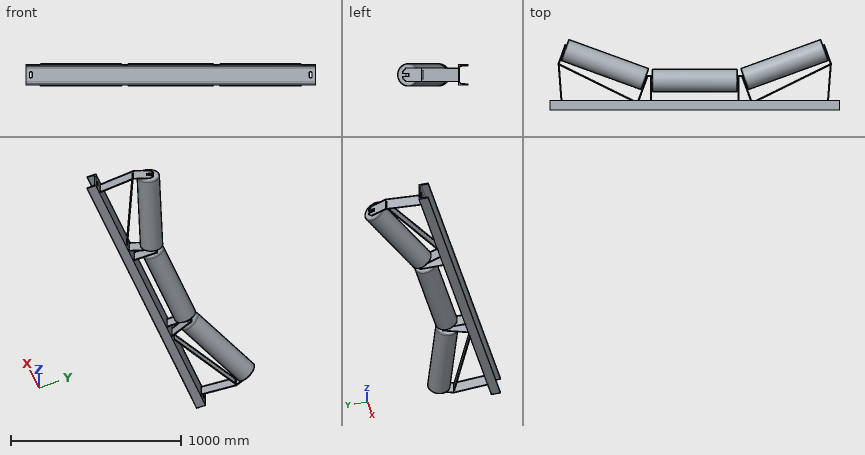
import cadquery as cq
import math


CHANNEL_LENGTH = 1700.0
CHANNEL_HEIGHT = 120.0
FLANGE_WIDTH = 56.0
WEB_THICKNESS = 7.0
FLANGE_THICKNESS = 9.0
FLANGE_TAPER = 0.08
ROOT_RADIUS = 9.0
TIP_RADIUS = 4.5
SLOT_WIDTH = 15.0
SLOT_LENGTH = 35.0
SLOT_FROM_END = 29.0
SEAT_Y = FLANGE_WIDTH

ROLLER_DIAMETER = 133.0
ROLLER_LENGTH = 500.0
END_ROUND = 5.0
END_GAP = 4.2
SHAFT_SIZE = 17.0
TROUGH_ANGLE = 20.0
CENTRE_ROLLER_Y = 173.0
SIDE_ROLLER_X = 527.0
OVERALL_DEPTH = 413.0

PLATE = 6.0
BRACKET_WIDTH = 78.0
INNER_BRACKET_TOP_Y = 204.0
OUTER_FOOT_X = 785.0
BEND_Y = 272.0
TIP_ABOVE_AXIS = 30.0
TIP_CHAMFER = 20.0
BRACE_WIDTH = 50.0
BRACE_FOOT_X = 359.0

PICK_MARGIN = 2.0

trough = math.radians(TROUGH_ANGLE)
tilt_sin = math.sin(trough)
tilt_cos = math.cos(trough)
tilt_tan = math.tan(trough)
corner_along = ROLLER_LENGTH / 2 - END_ROUND
corner_above = ROLLER_DIAMETER / 2 - END_ROUND
side_roller_y = OVERALL_DEPTH - END_ROUND - corner_along * tilt_sin - corner_above * tilt_cos
bracket_face = ROLLER_LENGTH / 2 + END_GAP
shaft_length = 2 * (bracket_face + PLATE)


def side_point(along, above):
    """Point of the XY plane, measured along and square to the side roller's axis."""
    x = SIDE_ROLLER_X + along * tilt_cos - above * tilt_sin
    y = side_roller_y + along * tilt_sin + above * tilt_cos
    return (x, y)


def place_on_side(body):
    """Move a body from the origin, along X, to the axis of the +X side roller."""
    turned = body.rotate((0, 0, 0), (0, 0, 1), TROUGH_ANGLE)
    return turned.translate((SIDE_ROLLER_X, side_roller_y, 0))


def plate(outline, width):
    """Plate with its edge outline in the XY plane, centred on Z = 0."""
    return cq.Workplane("XY").polyline(outline).close().extrude(width / 2, both=True)


def shaft_slot(depth):
    """Cutter for shaft slots that are open upwards, about a roller at the origin."""
    length = shaft_length + 2 * PLATE
    bottom = -SHAFT_SIZE / 2
    return cq.Workplane("XY").box(length, depth, SHAFT_SIZE).translate((0, bottom + depth / 2, 0))


def inner_flange_edges(y):
    """Selector of the channel's long edges at a given Y, between its outer flange faces."""
    z = CHANNEL_HEIGHT / 2 - PICK_MARGIN
    low = (-CHANNEL_LENGTH, y - PICK_MARGIN, -z)
    high = (CHANNEL_LENGTH, y + PICK_MARGIN, z)
    return cq.selectors.BoxSelector(low, high)


def make_channel():
    """Channel with tapered flanges, rounded inside, and a fixing slot near each end."""
    half = CHANNEL_HEIGHT / 2
    tip_z = half - FLANGE_THICKNESS + FLANGE_TAPER * FLANGE_WIDTH / 2
    web_inner_y = FLANGE_WIDTH - WEB_THICKNESS
    root_z = tip_z - FLANGE_TAPER * web_inner_y
    outline = [
        (0, half),
        (FLANGE_WIDTH, half),
        (FLANGE_WIDTH, -half),
        (0, -half),
        (0, -tip_z),
        (web_inner_y, -root_z),
        (web_inner_y, root_z),
        (0, tip_z),
    ]
    body = cq.Workplane("YZ").polyline(outline).close().extrude(CHANNEL_LENGTH / 2, both=True)
    body = body.edges("|X").edges(inner_flange_edges(web_inner_y)).fillet(ROOT_RADIUS)
    body = body.edges("|X").edges(inner_flange_edges(0)).fillet(TIP_RADIUS)
    slot_x = CHANNEL_LENGTH / 2 - SLOT_FROM_END
    slots = (
        cq.Workplane("XZ")
        .pushPoints([(-slot_x, 0), (slot_x, 0)])
        .slot2D(SLOT_LENGTH, SLOT_WIDTH, 90)
        .extrude(-FLANGE_WIDTH)
    )
    return body.cut(slots)


def make_roller():
    """Roller along X at the origin, with its shaft ends."""
    end_plane = cq.Plane((-ROLLER_LENGTH / 2, 0, 0), xDir=(0, 0, 1), normal=(1, 0, 0))
    shell = cq.Workplane(end_plane).circle(ROLLER_DIAMETER / 2).extrude(ROLLER_LENGTH)
    shell = shell.edges("%CIRCLE").fillet(END_ROUND)
    shaft = cq.Workplane("XY").box(shaft_length, SHAFT_SIZE, SHAFT_SIZE)
    return shell.union(shaft)


def make_inner_bracket():
    """Bent strip that carries the centre roller and the inner end of the +X side roller."""
    top = INNER_BRACKET_TOP_Y
    face_x, face_y = side_point(-bracket_face, 0)
    seat_x = face_x + (face_y - SEAT_Y) * tilt_tan
    top_x = face_x + (face_y - top) * tilt_tan
    lean = PLATE / tilt_cos
    outline = [
        (bracket_face, SEAT_Y),
        (bracket_face, top),
        (top_x, top),
        (seat_x, SEAT_Y),
        (seat_x - lean, SEAT_Y),
        (top_x - lean + PLATE * tilt_tan, top - PLATE),
        (bracket_face + PLATE, top - PLATE),
        (bracket_face + PLATE, SEAT_Y),
    ]
    bracket = plate(outline, BRACKET_WIDTH)
    bracket = bracket.cut(shaft_slot(ROLLER_DIAMETER).translate((0, CENTRE_ROLLER_Y, 0)))
    return bracket.cut(place_on_side(shaft_slot(ROLLER_DIAMETER)))


arm_x, arm_y = side_point(bracket_face + PLATE, 0)
bend_x = arm_x + (arm_y - BEND_Y) * tilt_tan
leg_angle = math.atan((bend_x - OUTER_FOOT_X) / (BEND_Y - SEAT_Y))
leg_tan = math.tan(leg_angle)
inner_foot_x = OUTER_FOOT_X - PLATE / math.cos(leg_angle)
mitre = PLATE / math.cos((trough + leg_angle) / 2)
mitre_angle = (trough - leg_angle) / 2
inner_bend = (bend_x - mitre * math.cos(mitre_angle), BEND_Y - mitre * math.sin(mitre_angle))


def make_outer_bracket():
    """Bent strip that carries the outer end of the +X side roller."""
    outline = [
        (OUTER_FOOT_X, SEAT_Y),
        (bend_x, BEND_Y),
        side_point(bracket_face + PLATE, TIP_ABOVE_AXIS),
        side_point(bracket_face, TIP_ABOVE_AXIS),
        inner_bend,
        (inner_foot_x, SEAT_Y),
    ]
    bracket = plate(outline, BRACKET_WIDTH)
    across_tip = cq.selectors.ParallelDirSelector(cq.Vector(tilt_cos, tilt_sin, 0))
    bracket = bracket.edges(across_tip).chamfer(TIP_CHAMFER)
    return bracket.cut(place_on_side(shaft_slot(ROLLER_DIAMETER)))


def make_brace():
    """Sloping strip from the channel to the bend of the +X outer bracket."""
    start_x, start_y = inner_bend
    slope = math.atan((start_y - SEAT_Y) / (start_x - BRACE_FOOT_X))
    lower_foot_x = BRACE_FOOT_X + PLATE / math.sin(slope)
    lower_rise = (inner_foot_x - lower_foot_x) / (1 / math.tan(slope) - leg_tan)
    outline = [
        (BRACE_FOOT_X, SEAT_Y),
        inner_bend,
        (inner_foot_x + lower_rise * leg_tan, SEAT_Y + lower_rise),
        (lower_foot_x, SEAT_Y),
    ]
    return plate(outline, BRACE_WIDTH)


def both_sides(body):
    """The +X body and its mirror image on the -X side."""
    return [body.val(), body.mirror("YZ").val()]


channel = make_channel()
centre_roller = make_roller().translate((0, CENTRE_ROLLER_Y, 0))
side_rollers = both_sides(place_on_side(make_roller()))
inner_brackets = both_sides(make_inner_bracket())
outer_brackets = both_sides(make_outer_bracket())
braces = both_sides(make_brace())

result = cq.Compound.makeCompound(
    [channel.val(), centre_roller.val(), *side_rollers, *inner_brackets, *outer_brackets, *braces]
)